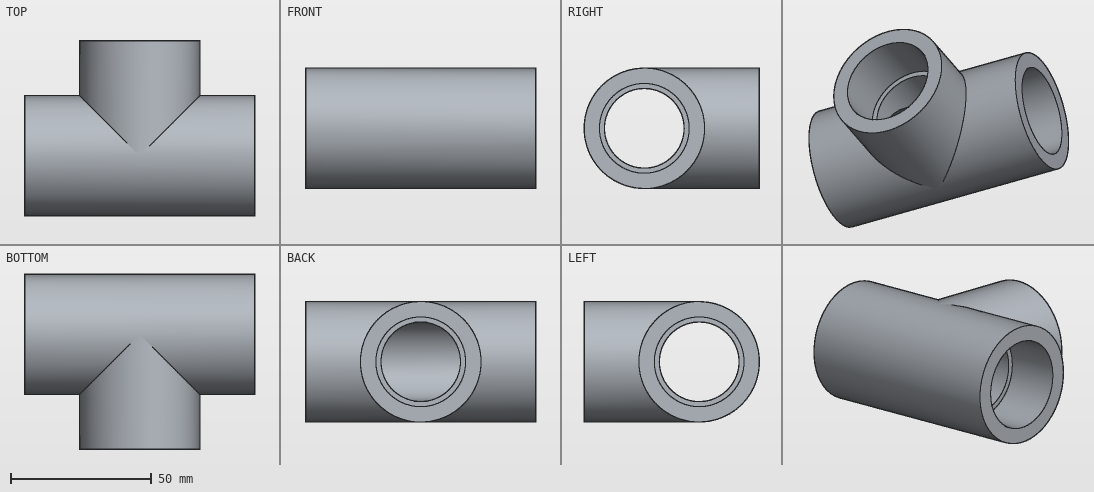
import cadquery as cq

run_length = 82.0
outer_diameter = 43.0
socket_diameter = 32.0
bore_diameter = 28.3
socket_depth = 20.0

arm_length = run_length / 2


def run_cylinder(diameter, half_length):
    """Cylinder along X, centred on the crossing of the axes."""
    return cq.Workplane("YZ").circle(diameter / 2).extrude(half_length, both=True)


def branch_cylinder(diameter, start, end):
    """Cylinder along +Y between two distances from the run axis."""
    return cq.Workplane("XZ", origin=(0, start, 0)).circle(diameter / 2).extrude(start - end)


def run_socket(side):
    """Pipe socket sunk into one end of the run; side is -1 or +1."""
    mouth = cq.Workplane("YZ", origin=(side * arm_length, 0, 0))
    return mouth.circle(socket_diameter / 2).extrude(-side * socket_depth)


body = run_cylinder(outer_diameter, arm_length)
body = body.union(branch_cylinder(outer_diameter, 0, arm_length))

body = body.cut(run_cylinder(bore_diameter, arm_length))
body = body.cut(branch_cylinder(bore_diameter, 0, arm_length))

for side in (-1, 1):
    body = body.cut(run_socket(side))
body = body.cut(branch_cylinder(socket_diameter, arm_length - socket_depth, arm_length))

result = body